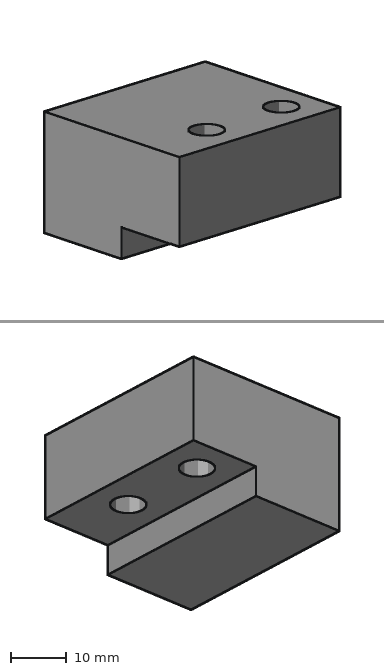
import cadquery as cq

length_x = 35.0
width_y = 40.0
height_z = 23.0

foot_length = 20.0
step_height = 6.0

hole_diameter = 6.5
hole_edge_distance = 7.5
hole_spacing = 18.5
hole_x = length_x - hole_edge_distance
rear_hole_y = width_y - hole_edge_distance
front_hole_y = rear_hole_y - hole_spacing


def stepped_block():
    """L-shaped block with its lower corner at the origin."""
    block = cq.Workplane("XY").box(length_x, width_y, height_z, centered=False)
    step = (
        cq.Workplane("XY")
        .box(length_x - foot_length, width_y, step_height, centered=False)
        .translate((foot_length, 0, 0))
    )
    return block.cut(step)


def ledge_holes():
    """Vertical cylinders that pierce the ledge."""
    return (
        cq.Workplane("XY")
        .pushPoints([(hole_x, front_hole_y), (hole_x, rear_hole_y)])
        .circle(hole_diameter / 2)
        .extrude(height_z)
    )


result = stepped_block().cut(ledge_holes())